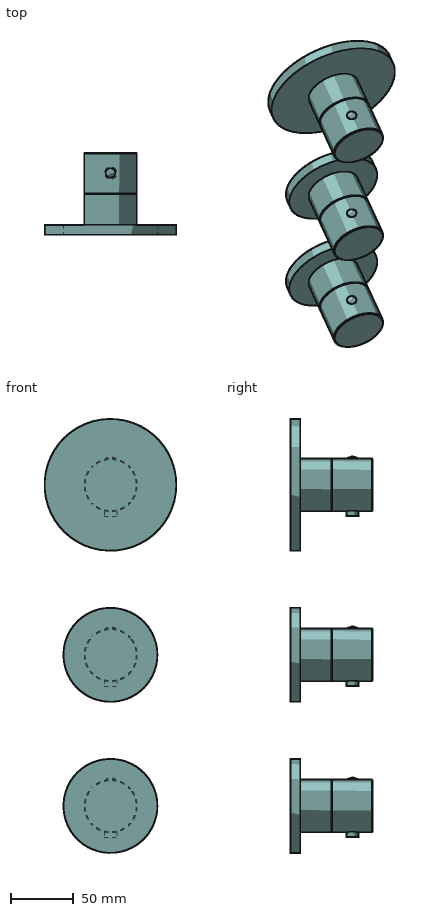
import cadquery as cq

TOTAL_HEIGHT = 345.0
TOTAL_DEPTH = 65.2
LARGE_PLATE_DIAMETER = 105.0
SMALL_PLATE_DIAMETER = 75.0
LOWER_PITCH = 120.0

PLATE_THICKNESS = 8.0
STEM_RADIUS = 21.0
STEM_END_CHAMFER = 0.7

GROOVE_START = 32.5
GROOVE_WIDTH = 0.7
GROOVE_DEPTH = 0.5

PIN_DISTANCE = 49.5
PIN_RADIUS = 5.0
PIN_BOTTOM_PROTRUSION = 3.8
POINT_RADIUS = 3.8
POINT_PROTRUSION = 1.7
POINT_LENGTH = 1.5

BOTTOM_Z = SMALL_PLATE_DIAMETER / 2
MIDDLE_Z = BOTTOM_Z + LOWER_PITCH
TOP_Z = TOTAL_HEIGHT - LARGE_PLATE_DIAMETER / 2
KNOB_LAYOUT = [
    (BOTTOM_Z, SMALL_PLATE_DIAMETER),
    (MIDDLE_Z, SMALL_PLATE_DIAMETER),
    (TOP_Z, LARGE_PLATE_DIAMETER),
]


def make_turned_body(plate_diameter):
    """Plate, grooved stem and end chamfer, turned about the Y axis."""
    groove_end = GROOVE_START + GROOVE_WIDTH
    groove_radius = STEM_RADIUS - GROOVE_DEPTH
    return (
        cq.Workplane("XY")
        .moveTo(0, 0)
        .lineTo(plate_diameter / 2, 0)
        .lineTo(plate_diameter / 2, PLATE_THICKNESS)
        .lineTo(STEM_RADIUS, PLATE_THICKNESS)
        .lineTo(STEM_RADIUS, GROOVE_START)
        .lineTo(groove_radius, GROOVE_START)
        .lineTo(groove_radius, groove_end)
        .lineTo(STEM_RADIUS, groove_end)
        .lineTo(STEM_RADIUS, TOTAL_DEPTH - STEM_END_CHAMFER)
        .lineTo(STEM_RADIUS - STEM_END_CHAMFER, TOTAL_DEPTH)
        .lineTo(0, TOTAL_DEPTH)
        .close()
        .revolve(360, (0, 0, 0), (0, 1, 0))
    )


def make_cross_pin():
    """Pointed pin along Z, stepping to its slimmer half at the stem axis."""
    pin_bottom = -STEM_RADIUS - PIN_BOTTOM_PROTRUSION
    pin_tip = STEM_RADIUS + POINT_PROTRUSION
    return (
        cq.Workplane("XZ")
        .moveTo(0, pin_bottom)
        .lineTo(PIN_RADIUS, pin_bottom)
        .lineTo(PIN_RADIUS, 0)
        .lineTo(POINT_RADIUS, 0)
        .lineTo(POINT_RADIUS, pin_tip - POINT_LENGTH)
        .lineTo(0, pin_tip)
        .close()
        .revolve(360, (0, 0, 0), (0, 1, 0))
        .translate((0, PIN_DISTANCE, 0))
    )


def make_knob(plate_diameter):
    """One complete knob, centred on the Y axis with its face at Y = 0."""
    return make_turned_body(plate_diameter).union(make_cross_pin())


knobs = [
    make_knob(plate_diameter).translate((0, 0, center_z)).solids().val()
    for center_z, plate_diameter in KNOB_LAYOUT
]

result = cq.Compound.makeCompound(knobs)